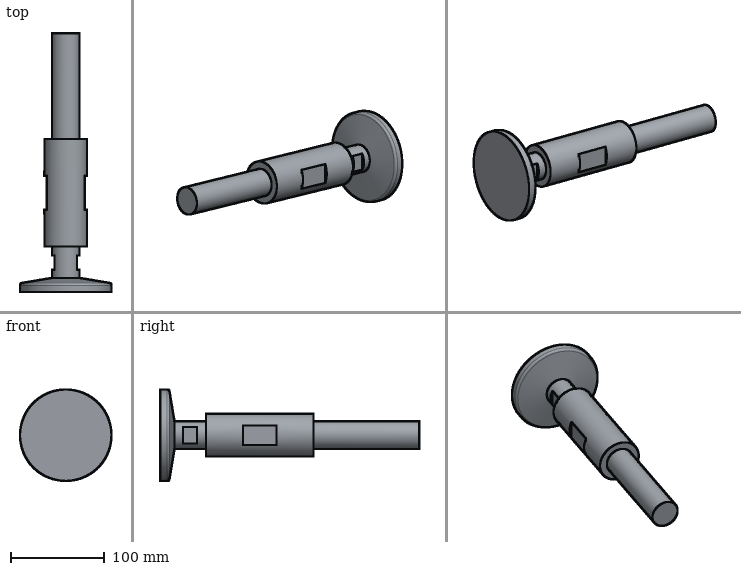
import cadquery as cq

total_length = 277.0
stem_diameter = 30.0

plate_diameter = 98.0
plate_height = 15.2
cone_top_diameter = 31.5
cone_start = 9.7
rim_fillet = 2.8

sleeve_diameter = 46.0
sleeve_start = 48.8
sleeve_length = 115.2

stem_flat_start = 24.0
stem_flat_length = 15.0
stem_across_flats = 24.0
sleeve_flat_length = 36.0
sleeve_across_flats = 41.0


def cylinder_along_y(diameter, start, length):
    return (
        cq.Workplane("XZ", origin=(0, start, 0))
        .circle(diameter / 2)
        .extrude(-length)
    )


def cut_wrench_flats(body, diameter, across_flats, start, length):
    """Cut two opposite flats, facing -X and +X, into a round body."""
    depth = (diameter - across_flats) / 2
    for side in (-1, 1):
        cutter = cq.Workplane("XY").box(2 * depth, length, diameter).translate(
            (side * (across_flats / 2 + depth), start + length / 2, 0)
        )
        body = body.cut(cutter)
    return body


def make_foot_plate():
    """Disc with a conical upper face and a rounded rim."""
    plate_radius = plate_diameter / 2
    plate = (
        cq.Workplane("XY")
        .polyline([
            (0, 0),
            (plate_radius, 0),
            (plate_radius, cone_start),
            (cone_top_diameter / 2, plate_height),
            (0, plate_height),
        ])
        .close()
        .revolve(360, (0, 0, 0), (0, 1, 0))
    )
    upper_rim = cq.selectors.NearestToPointSelector((0, cone_start, 0))
    rim_edges = plate.edges("%CIRCLE").edges(upper_rim)
    return rim_edges.fillet(rim_fillet)


def make_stem():
    """Foot plate and full-length rod, with wrench flats between plate and sleeve."""
    rod = cylinder_along_y(stem_diameter, plate_height, total_length - plate_height)
    rod = cut_wrench_flats(
        rod, stem_diameter, stem_across_flats, stem_flat_start, stem_flat_length
    )
    return make_foot_plate().union(rod)


def make_sleeve():
    """Tube around the stem, with wrench flats at mid-length."""
    tube = cylinder_along_y(sleeve_diameter, sleeve_start, sleeve_length).cut(
        cylinder_along_y(stem_diameter, sleeve_start, sleeve_length)
    )
    flat_start = sleeve_start + (sleeve_length - sleeve_flat_length) / 2
    return cut_wrench_flats(
        tube, sleeve_diameter, sleeve_across_flats, flat_start, sleeve_flat_length
    )


stem = make_stem()
sleeve = make_sleeve()

result = cq.Compound.makeCompound([stem.val(), sleeve.val()])